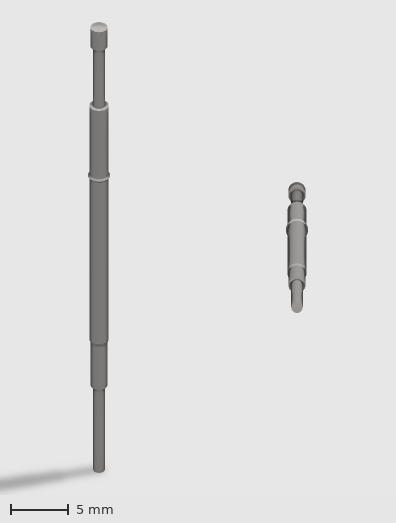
import cadquery as cq

total_length = 47.35

head_diameter = 1.5
head_length = 2.0
plunger_diameter = 1.0
exposed_plunger_length = 6.35
barrel_diameter = 1.36

tube_diameter = 1.68
bore_diameter = barrel_diameter
crimp_diameter = 1.47
crimp_length = 4.58
crimp_taper_length = 0.4
tail_diameter = 1.0
tail_length = 9.05
ring_diameter = 1.93
ring_flank_length = 0.2
ring_drop = 7.3

head_bottom = total_length - head_length
tube_top = head_bottom - exposed_plunger_length
crimp_top = tail_length + crimp_length
tube_bottom = crimp_top + crimp_taper_length
ring_top = tube_top - ring_drop
ring_crest = ring_top - ring_flank_length
ring_bottom = ring_crest - ring_flank_length


def cylinder(diameter, bottom, top):
    """Solid cylinder on the Z axis between two levels."""
    return cq.Workplane("XY").workplane(offset=bottom).circle(diameter / 2).extrude(top - bottom)


def cone(bottom_diameter, top_diameter, bottom, top):
    """Truncated cone on the Z axis between two levels."""
    half_section = [
        (0, bottom),
        (bottom_diameter / 2, bottom),
        (top_diameter / 2, top),
        (0, top),
    ]
    return cq.Workplane("XZ").polyline(half_section).close().revolve(360, (0, 0, 0), (0, 1, 0))


def make_probe():
    """Barrel flush with the tube mouth, plunger above it and head on top."""
    barrel = cylinder(barrel_diameter, tube_bottom, tube_top)
    plunger = cylinder(plunger_diameter, tube_top, head_bottom)
    head = cylinder(head_diameter, head_bottom, total_length)
    return barrel.union(plunger).union(head)


def make_press_ring():
    """Raised ring with a sharp crest between two conical flanks."""
    lower_flank = cone(tube_diameter, ring_diameter, ring_bottom, ring_crest)
    upper_flank = cone(ring_diameter, tube_diameter, ring_crest, ring_top)
    return lower_flank.union(upper_flank)


def make_receptacle():
    """Tail, crimp section, taper and ringed tube, with a blind bore from the mouth."""
    tail = cylinder(tail_diameter, 0, tail_length)
    crimp = cylinder(crimp_diameter, tail_length, crimp_top)
    taper = cone(crimp_diameter, tube_diameter, crimp_top, tube_bottom)
    tube = cylinder(tube_diameter, tube_bottom, tube_top)
    bore = cylinder(bore_diameter, tube_bottom, tube_top)
    body = tail.union(crimp).union(taper).union(tube).union(make_press_ring())
    return body.cut(bore)


probe = make_probe()
receptacle = make_receptacle()

result = cq.Compound.makeCompound([probe.solids().val(), receptacle.solids().val()])